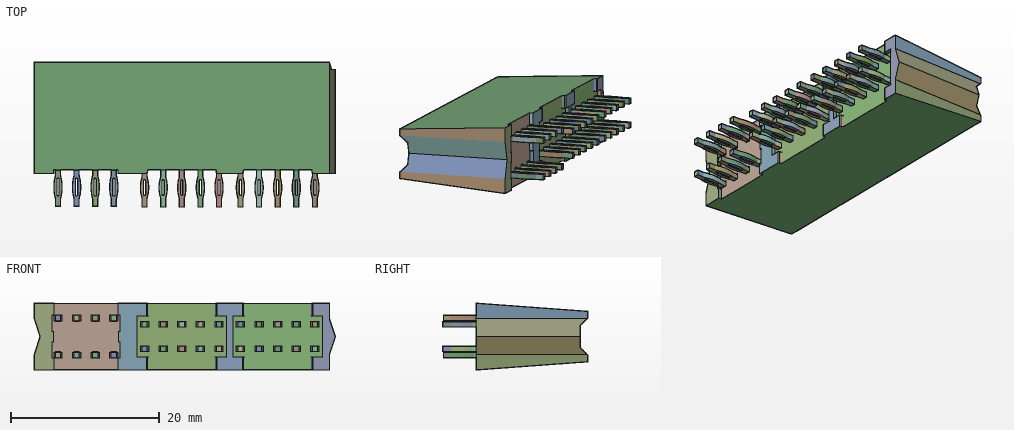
import cadquery as cq

body_length = 39.7
body_depth = 15.0
front_height = 9.0
rear_height = 6.8

v_depth = 0.8
groove_half_height = 2.5
ridge_half_height = 2.4

channel_depth = 1.0
channel_half_height = 2.5

pocket_depth = 0.5
first_pocket_x = 6.97
pocket_pitch = 12.88

small_slot_length = 8.6
small_recess_length = 9.1
small_recess_height = 5.8
key_width = 0.2
key_height = 1.4

large_slot_length = 9.2
large_recess_length = 12.0
large_recess_height = 5.5
wall_fillet = 0.13

pin_pitch = 2.5
pin_width = 0.7
pin_thickness = 0.75
bulge_width = 1.15
eye_width = 0.26
root_depth = 0.5

small_pin_count = 4
small_row_spacing = 5.0
small_tip = 4.4
small_bulge_start = 0.2
small_bulge_end = 3.4
small_eye_length = 2.4
bend_length = 0.1
bend_offset = 0.12

large_pin_count = 5
large_row_spacing = 3.3
large_tip = 4.5
large_bulge_start = 0.43
large_bulge_end = 3.3
large_eye_length = 2.1


def box_between(x_min, x_max, y_min, y_max, height):
    """Box centred on Z = 0 between the given X and Y limits."""
    return (
        cq.Workplane("XY")
        .box(x_max - x_min, y_max - y_min, height, centered=(False, False, True))
        .translate((x_min, y_min, 0))
    )


def end_prism(x, half_height):
    """Triangular prism along Y whose base is on plane X = x and whose tip points to +X."""
    return (
        cq.Workplane("XZ", origin=(x, 0, 0))
        .moveTo(0, -half_height)
        .lineTo(v_depth, 0)
        .lineTo(0, half_height)
        .close()
        .extrude(-body_depth)
    )


def make_housing():
    """Tapered block with a V groove, a V ridge and the rear channel."""
    block = (
        cq.Workplane("YZ")
        .moveTo(0, -front_height / 2)
        .lineTo(body_depth, -rear_height / 2)
        .lineTo(body_depth, rear_height / 2)
        .lineTo(0, front_height / 2)
        .close()
        .extrude(body_length)
    )
    floor_half_height = channel_half_height - channel_depth
    channel = (
        cq.Workplane("YZ")
        .moveTo(body_depth, -channel_half_height)
        .lineTo(body_depth - channel_depth, -floor_half_height)
        .lineTo(body_depth - channel_depth, floor_half_height)
        .lineTo(body_depth, channel_half_height)
        .close()
        .extrude(body_length + v_depth)
    )
    block = block.cut(end_prism(0, groove_half_height))
    block = block.union(end_prism(body_length, ridge_half_height))
    return block.cut(channel)


def small_pocket(x):
    """Full-height slot with a slightly longer recess, keyed at both ends."""
    half_slot = small_slot_length / 2
    half_recess = small_recess_length / 2
    slot = box_between(x - half_slot, x + half_slot, 0, pocket_depth, front_height)
    recess = box_between(x - half_recess, x + half_recess, 0, pocket_depth, small_recess_height)
    left_key = box_between(
        x - half_recess, x - half_recess + key_width, 0, pocket_depth, key_height
    )
    right_key = box_between(
        x + half_recess - key_width, x + half_recess, 0, pocket_depth, key_height
    )
    return recess.cut(left_key).cut(right_key).union(slot)


def large_pocket(x):
    """Full-height slot with rounded wall edges, crossed by a longer square-cornered recess."""
    half_slot = large_slot_length / 2
    half_recess = large_recess_length / 2
    r = wall_fillet
    straight = pocket_depth - 2 * r
    slot = (
        cq.Workplane("XY", origin=(x, 0, -front_height / 2))
        .moveTo(-half_slot - r, 0)
        .radiusArc((-half_slot, r), r)
        .line(0, straight)
        .radiusArc((-half_slot + r, pocket_depth), r)
        .lineTo(half_slot - r, pocket_depth)
        .radiusArc((half_slot, pocket_depth - r), r)
        .line(0, -straight)
        .radiusArc((half_slot + r, 0), r)
        .close()
        .extrude(front_height)
    )
    recess = box_between(x - half_recess, x + half_recess, 0, pocket_depth, large_recess_height)
    return slot.union(recess)


def make_pin(base_y, tip, bulge_start, bulge_end, eye_length):
    """Flat pin from base_y to Y = -tip, bulging around its eye, centred on X = 0 and Z = 0."""
    half_pin = pin_width / 2
    half_bulge = bulge_width / 2
    bulge_y = -(bulge_start + bulge_end) / 2
    blade = (
        cq.Workplane("XY", origin=(0, 0, -pin_thickness / 2))
        .moveTo(-half_pin, base_y)
        .lineTo(-half_pin, -bulge_start)
        .threePointArc((-half_bulge, bulge_y), (-half_pin, -bulge_end))
        .lineTo(-half_pin, -tip)
        .lineTo(half_pin, -tip)
        .lineTo(half_pin, -bulge_end)
        .threePointArc((half_bulge, bulge_y), (half_pin, -bulge_start))
        .lineTo(half_pin, base_y)
        .close()
        .extrude(pin_thickness)
    )
    eye = (
        cq.Workplane("XY", origin=(0, bulge_y, -pin_thickness / 2))
        .slot2D(eye_length, eye_width, 90)
        .extrude(pin_thickness)
    )
    return blade.cut(eye)


def bent_root():
    """Root of a small-pocket pin, stepping down towards -Z just before the pocket floor."""
    half = pin_thickness / 2
    bend_y = pocket_depth - bend_length
    root_y = pocket_depth + root_depth
    return (
        cq.Workplane("YZ", origin=(-pin_width / 2, 0, 0))
        .moveTo(bend_y, -half)
        .lineTo(pocket_depth, -half - bend_offset)
        .lineTo(root_y, -half - bend_offset)
        .lineTo(root_y, half - bend_offset)
        .lineTo(pocket_depth, half - bend_offset)
        .lineTo(bend_y, half)
        .close()
        .extrude(pin_width)
    )


def add_pins(part, upper_pin, x, count, row_spacing):
    """Add an upper row of pins centred on x and its mirror image below."""
    for index in range(count):
        pin_x = x + (index - (count - 1) / 2) * pin_pitch
        placed = upper_pin.translate((pin_x, 0, row_spacing / 2))
        part = part.union(placed).union(placed.mirror("XY"))
    return part


large_pocket_xs = [first_pocket_x + pocket_pitch * step for step in (1, 2)]

small_pin = make_pin(
    pocket_depth - bend_length, small_tip, small_bulge_start, small_bulge_end, small_eye_length
).union(bent_root())
large_pin = make_pin(
    pocket_depth + root_depth, large_tip, large_bulge_start, large_bulge_end, large_eye_length
)

result = make_housing().cut(small_pocket(first_pocket_x))
for pocket_x in large_pocket_xs:
    result = result.cut(large_pocket(pocket_x))

result = add_pins(result, small_pin, first_pocket_x, small_pin_count, small_row_spacing)
for pocket_x in large_pocket_xs:
    result = add_pins(result, large_pin, pocket_x, large_pin_count, large_row_spacing)